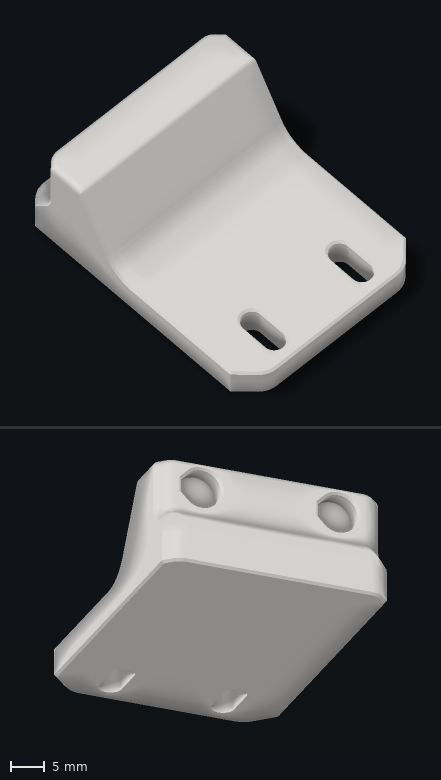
import cadquery as cq
import math

length = 47.85
width = 36.0
height = 18.45
half_width = width / 2

plate_thickness = 4.98
front_step = 3.35
step_start_z = 6.25
step_end_z = step_start_z + front_step
step_outer_radius = 3.0
step_inner_radius = 1.2
ramp_top_x = 11.55
ramp_angle = 60.0
ramp_foot_radius = 6.0
ramp_foot_x = ramp_top_x + (height - plate_thickness) / math.tan(math.radians(ramp_angle))

front_corner_chamfer = 2.0
front_corner_radius = 2.8
rear_corner_chamfer = 4.0
rear_corner_radius = 4.0
top_radius = 1.2
rim_chamfer = 0.4

slot_width = 3.6
slot_travel = 4.8
slot_x = 41.45
slot_y = 9.0

pocket_radius = 3.05
pocket_tip_overhang = 0.2
pocket_tip = pocket_radius + pocket_tip_overhang
pocket_depth = 3.0
pocket_y = 10.95
pocket_z = 14.2

tolerance = 0.025


def edges_in_box(body, x_range, y_range, z_range):
    """Edges whose centres lie inside the given box."""
    low, high = zip(x_range, y_range, z_range)
    return body.edges(cq.selectors.BoxSelector(low, high))


def make_body():
    """Side profile extruded across the width, with its step and ramp foot rounded."""
    body = (
        cq.Workplane("XZ", origin=(0, half_width, 0))
        .polyline([
            (0, 0),
            (length, 0),
            (length, plate_thickness),
            (ramp_foot_x, plate_thickness),
            (ramp_top_x, height),
            (front_step, height),
            (front_step, step_end_z),
            (0, step_start_z),
        ])
        .close()
        .extrude(width)
    )
    for x, z, radius in (
        (0, step_start_z, step_outer_radius),
        (front_step, step_end_z, step_inner_radius),
        (ramp_foot_x, plate_thickness, ramp_foot_radius),
    ):
        body = body.edges(cq.selectors.NearestToPointSelector((x, 0, z))).fillet(radius)
    return body


def shape_front_corners(body):
    """Chamfer both ends of the stepped front, then round the chamfer into the front."""

    def front_edges(y):
        return edges_in_box(
            body,
            (-tolerance, front_step + tolerance),
            (y - tolerance, y + tolerance),
            (tolerance, height - tolerance),
        )

    for side in (-1, 1):
        body = front_edges(side * half_width).chamfer(front_corner_chamfer)
        chamfer_y = side * (half_width - front_corner_chamfer)
        body = front_edges(chamfer_y).fillet(front_corner_radius)
    return body


def shape_rear_corners(body):
    """Cut the two rear corners at 45 degrees and round them into the rear face."""
    body = body.edges("|Z and >X").chamfer(rear_corner_chamfer)
    return body.edges("|Z and >X").fillet(rear_corner_radius)


def shape_rims(body):
    """Round the top face and chamfer the plate, ramp and underside rims."""
    rounded_top = body.faces(">Z").edges().fillet(top_radius)
    plate_and_ramp = cq.selectors.BoxSelector(
        (ramp_top_x, -width, plate_thickness - tolerance),
        (length + tolerance, width, height - tolerance),
    )
    across = cq.selectors.ParallelDirSelector(cq.Vector(0, 1, 0))
    rim = body.edges(plate_and_ramp - across).add(body.faces(">X").edges(">Z"))
    chamfered = rim.chamfer(rim_chamfer).faces("<Z").edges().chamfer(rim_chamfer)
    return chamfered.intersect(rounded_top)


def slot_outlines(z, offset):
    """Both slot outlines at height Z, grown outward by the offset."""
    slot_diameter = slot_width + 2 * offset
    return (
        cq.Workplane("XY", origin=(0, 0, z))
        .pushPoints([(slot_x, -slot_y), (slot_x, slot_y)])
        .slot2D(slot_travel + slot_diameter, slot_diameter)
    )


def cut_slots(body):
    """Two slots along X through the plate, chamfered at the top."""
    slots = slot_outlines(0, 0).extrude(plate_thickness)
    mouths = slot_outlines(plate_thickness, rim_chamfer).extrude(-rim_chamfer, taper=45)
    return body.cut(slots).cut(mouths)


def teardrop(y, offset):
    """Teardrop outline on the upper front face, grown outward by the offset."""
    radius = pocket_radius + offset
    tip = pocket_tip + offset
    tangent = radius / math.sqrt(2)
    tip_half_height = radius * math.sqrt(2) - tip
    return (
        cq.Workplane("YZ", origin=(front_step, y, pocket_z))
        .moveTo(tangent, tangent)
        .threePointArc((-radius, 0), (tangent, -tangent))
        .lineTo(tip, -tip_half_height)
        .lineTo(tip, tip_half_height)
        .close()
    )


def cut_pockets(body):
    """Two blind teardrop pockets with chamfered mouths."""
    for y in (-pocket_y, pocket_y):
        pocket = teardrop(y, 0).extrude(pocket_depth)
        mouth = teardrop(y, rim_chamfer).extrude(rim_chamfer, taper=45)
        body = body.cut(pocket).cut(mouth)
    return body


result = make_body()
result = shape_front_corners(result)
result = shape_rear_corners(result)
result = shape_rims(result)
result = cut_slots(result)
result = cut_pockets(result)